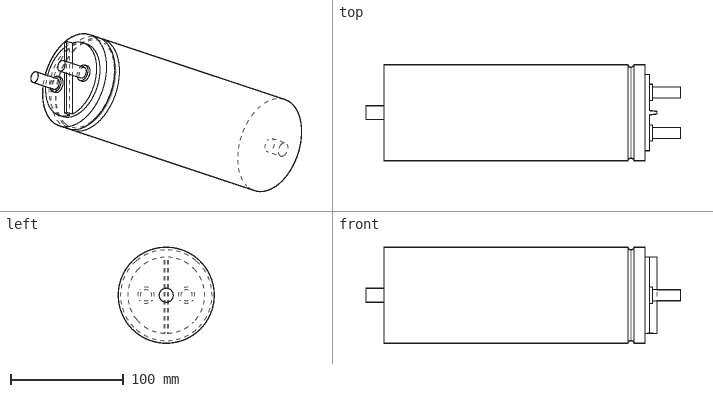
import cadquery as cq


overall_length = 279.5

can_diameter = 85.5
can_length = 232.0
can_radius = can_diameter / 2

groove_width = 5.2
groove_corner_radius = 2.25
rim_length = 10.1

stud_diameter = 12.5
stud_length = 16.0

deck_diameter = 68.0
deck_height = 4.0

terminal_diameter = 10.0
terminal_spacing = 36.0
collar_diameter = 14.5
collar_height = 2.5

barrier_height = 6.5
barrier_base_thickness = 4.0
barrier_tip_thickness = 2.5

deck_end = can_length + deck_height
terminal_length = overall_length - stud_length - deck_end


def cylinder_along_x(start, length, diameter, y=0.0):
    """Round bar parallel to X, starting at the given X position."""
    return cq.Workplane("YZ", origin=(start, y, 0)).circle(diameter / 2).extrude(length)


def make_can():
    """Can with its round-cornered groove, revolved about X."""
    groove_end = can_length - rim_length
    groove_start = groove_end - groove_width
    floor_radius = can_radius - groove_corner_radius
    return (
        cq.Workplane("XZ")
        .lineTo(0, can_radius)
        .lineTo(groove_start, can_radius)
        .radiusArc((groove_start + groove_corner_radius, floor_radius), -groove_corner_radius)
        .lineTo(groove_end - groove_corner_radius, floor_radius)
        .radiusArc((groove_end, can_radius), -groove_corner_radius)
        .lineTo(can_length, can_radius)
        .lineTo(can_length, 0)
        .close()
        .revolve(360, (0, 0, 0), (1, 0, 0))
    )


def make_terminal(y):
    """Terminal post standing on the deck with a collar at its foot."""
    post = cylinder_along_x(deck_end, terminal_length, terminal_diameter, y)
    collar = cylinder_along_x(deck_end, collar_height, collar_diameter, y)
    return post.union(collar)


def make_barrier():
    """Tapered wall across the deck, trimmed to the deck's round outline."""
    half_base = barrier_base_thickness / 2
    half_tip = barrier_tip_thickness / 2
    barrier_end = deck_end + barrier_height
    wall = (
        cq.Workplane("XY")
        .polyline([
            (deck_end, -half_base),
            (barrier_end, -half_tip),
            (barrier_end, half_tip),
            (deck_end, half_base),
        ])
        .close()
        .extrude(deck_diameter / 2, both=True)
    )
    return wall.intersect(cylinder_along_x(deck_end, barrier_height, deck_diameter))


result = make_can()
result = result.union(cylinder_along_x(-stud_length, stud_length, stud_diameter))
result = result.union(cylinder_along_x(can_length, deck_height, deck_diameter))
result = result.union(make_barrier())
for side in (-1, 1):
    result = result.union(make_terminal(side * terminal_spacing / 2))